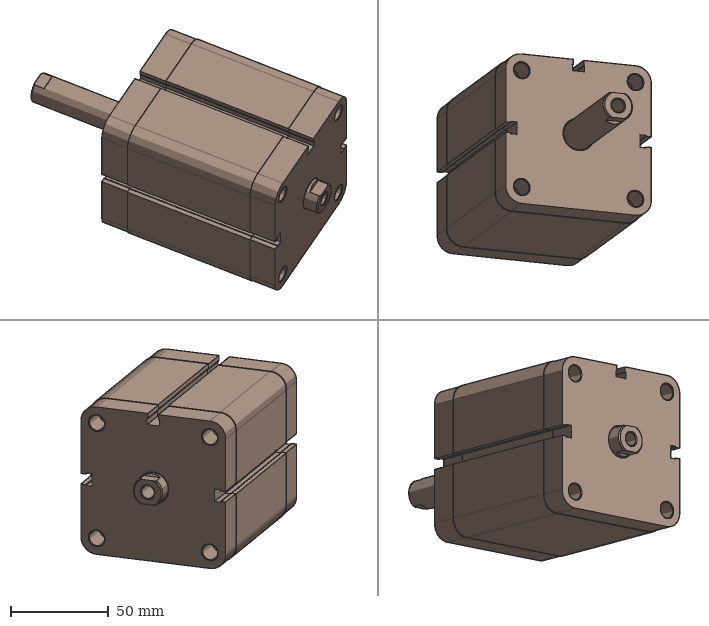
import cadquery as cq
import math


total_length = 165.0
front_stickout = 57.5
rear_stickout = 8.0
front_cap_length = 14.8
rear_cap_length = 14.4

front_face_x = front_stickout
rear_face_x = total_length - rear_stickout
barrel_start_x = front_face_x + front_cap_length
barrel_end_x = rear_face_x - rear_cap_length

barrel_width = 80.0
barrel_corner_radius = 8.9
cap_inset = 0.3

slot_neck_width = 5.6
slot_neck_depth = 2.8
slot_channel_width = 6.6
slot_depth = 6.1
slot_angles = (-90, 0, 90)

bolt_spacing = 62.0
bolt_hole_diameter = 8.2
bolt_hole_chamfer = 0.41

rod_diameter = 16.0
rod_chamfer = 0.7
rod_bore_chamfer = 0.5
flat_length = 6.1
flat_spacing = 13.2
flat_run_out = 0.5
thread_hole_diameter = 7.0
thread_hole_depth = 14.8
thread_hole_chamfer = 0.5
drill_tip_angle = 118.0


def slot_cutter(width, start_x, length):
    """T-shaped bar that cuts one slot into the +Z face of a section of the given width."""
    face_z = width / 2
    neck = (
        cq.Workplane("XY")
        .box(length, slot_neck_width, slot_neck_depth, centered=(False, True, False))
        .translate((start_x, 0, face_z - slot_neck_depth))
    )
    channel = (
        cq.Workplane("XY")
        .box(length, slot_channel_width, slot_depth - slot_neck_depth, centered=(False, True, False))
        .translate((start_x, 0, face_z - slot_depth))
    )
    return neck.union(channel)


def housing_section(start_x, end_x, inset):
    """Rounded square length of the housing with its slots, bolt holes and rod bore."""
    width = barrel_width - 2 * inset
    length = end_x - start_x
    section = (
        cq.Workplane("YZ", origin=(start_x, 0, 0))
        .rect(width, width)
        .extrude(length)
        .edges("|X")
        .fillet(barrel_corner_radius - inset)
    )
    slot = slot_cutter(width, start_x, length)
    for angle in slot_angles:
        section = section.cut(slot.rotate((0, 0, 0), (1, 0, 0), angle))
    bores = (
        cq.Workplane("YZ", origin=(start_x, 0, 0))
        .rect(bolt_spacing, bolt_spacing, forConstruction=True)
        .vertices()
        .circle(bolt_hole_diameter / 2)
        .extrude(length)
    )
    rod_bore = (
        cq.Workplane("YZ", origin=(start_x, 0, 0))
        .circle(rod_diameter / 2)
        .extrude(length)
    )
    return section.cut(bores).cut(rod_bore)


def rim_cutter(face_x, inward, hole_diameter, chamfer):
    """Cone that chamfers the rim of a hole on the X axis; inward is +1 or -1 along X."""
    hole_radius = hole_diameter / 2
    start = cq.Vector(face_x, 0, 0)
    direction = cq.Vector(inward, 0, 0)
    return cq.Solid.makeCone(hole_radius + chamfer, hole_radius, chamfer, start, direction)


def end_cap(start_x, end_x, outer_face_x):
    """Inset housing section with chamfered hole rims on its outer face."""
    cap = housing_section(start_x, end_x, cap_inset)
    inward = 1 if outer_face_x == start_x else -1
    cap = cap.cut(cq.Workplane(rim_cutter(outer_face_x, inward, rod_diameter, rod_bore_chamfer)))
    bolt_rim = rim_cutter(outer_face_x, inward, bolt_hole_diameter, bolt_hole_chamfer)
    reach = bolt_spacing / 2
    for y in (-reach, reach):
        for z in (-reach, reach):
            cap = cap.cut(cq.Workplane(bolt_rim.translate(cq.Vector(0, y, z))))
    return cap


def front_end_flats():
    """Pair of cutters for the wrench flats at X = 0, each with a sloping end shoulder."""
    flat_z = flat_spacing / 2
    rod_radius = rod_diameter / 2
    upper = (
        cq.Workplane("XZ")
        .moveTo(0, flat_z)
        .lineTo(flat_length, flat_z)
        .lineTo(flat_length + flat_run_out, rod_radius)
        .lineTo(0, rod_radius)
        .close()
        .extrude(rod_radius, both=True)
    )
    return upper.union(upper.mirror("XY"))


def front_end_thread_hole():
    """Chamfered blind hole with a drill-point bottom, entering the rod at X = 0."""
    radius = thread_hole_diameter / 2
    tip_depth = radius / math.tan(math.radians(drill_tip_angle / 2))
    return (
        cq.Workplane("XZ")
        .moveTo(0, 0)
        .lineTo(0, radius + thread_hole_chamfer)
        .lineTo(thread_hole_chamfer, radius)
        .lineTo(thread_hole_depth, radius)
        .lineTo(thread_hole_depth + tip_depth, 0)
        .close()
        .revolve(360, (0, 0, 0), (1, 0, 0))
    )


def piston_rod():
    """Through rod with the same flats, chamfer and threaded hole at both ends."""
    rod = (
        cq.Workplane("YZ")
        .circle(rod_diameter / 2)
        .extrude(total_length)
        .faces("<X or >X")
        .chamfer(rod_chamfer)
    )
    end_cut = front_end_flats().union(front_end_thread_hole())
    middle = (total_length / 2, 0, 0)
    return rod.cut(end_cut).cut(end_cut.mirror("YZ", middle))


barrel = housing_section(barrel_start_x, barrel_end_x, 0)
front_cap = end_cap(front_face_x, barrel_start_x, front_face_x)
rear_cap = end_cap(barrel_end_x, rear_face_x, rear_face_x)
rod = piston_rod()

result = cq.Compound.makeCompound([barrel.val(), front_cap.val(), rear_cap.val(), rod.val()])